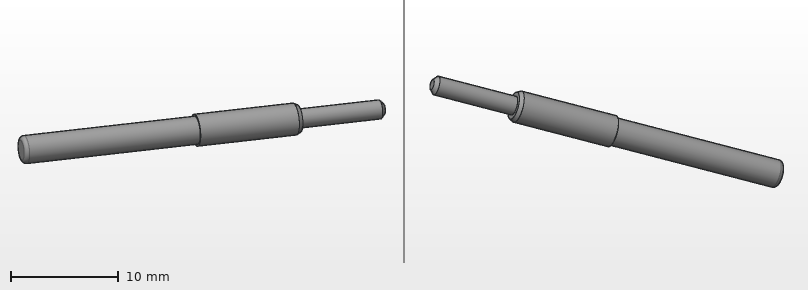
import cadquery as cq

barrel_diameter = 2.64
barrel_length = 17.0
barrel_end_radius = 0.4

collar_diameter = 3.0
collar_length = 10.0
collar_chamfer_length = 0.4
collar_chamfer_depth = 0.2

tail_diameter = 1.8
tail_length = 8.3
tail_chamfer = 0.4


def cylinder_along_y(diameter, y_start, length):
    """Solid cylinder on the Y axis, growing from y_start towards +Y."""
    base = cq.Workplane("XZ", origin=(0, y_start, 0))
    return base.circle(diameter / 2).extrude(-length)


def make_barrel():
    barrel = cylinder_along_y(barrel_diameter, -barrel_length, barrel_length)
    return barrel.faces("<Y").edges().fillet(barrel_end_radius)


def make_collar():
    collar = cylinder_along_y(collar_diameter, 0, collar_length)
    return collar.faces(">Y").edges().chamfer(collar_chamfer_length, collar_chamfer_depth)


def make_tail():
    tail = cylinder_along_y(tail_diameter, collar_length, tail_length)
    return tail.faces(">Y").edges().chamfer(tail_chamfer)


result = make_barrel().union(make_collar()).union(make_tail())